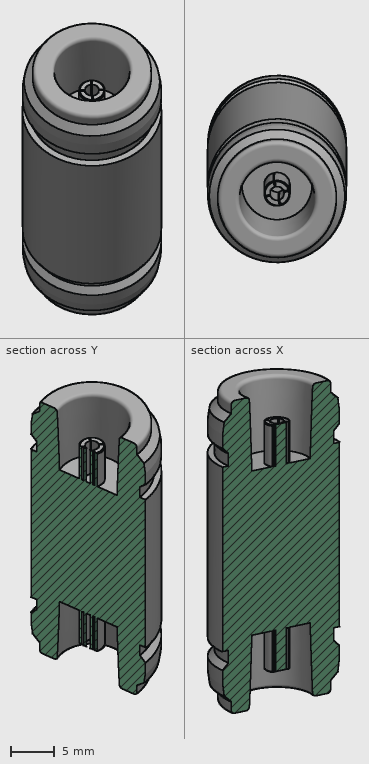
import cadquery as cq


half_length = 19.0
sleeve_half_length = 11.2
sleeve_diameter = 15.85

nose_depth = 1.52
lead_cone_depth = 2.4
taper_depth = 3.8
collar_depth = 5.55
relief_depth = 6.3

nose_radius = 6.75
taper_radius = 7.7
collar_radius = 7.9
relief_radius = 7.15
nose_fillet = 0.5

mouth_fillet = 0.5
bore_entry_radius = 4.3
bore_floor_radius = 4.0
bore_depth = 9.0

contact_top_depth = 4.0
contact_radius = 1.5
contact_chamfer = 0.1
socket_radius = 0.8
slot_width = 0.15
slot_angles = (45, 135)

sleeve_radius = sleeve_diameter / 2
bore_floor_z = half_length - bore_depth
contact_height = bore_depth - contact_top_depth


def revolve_about_z(profile):
    """Full turn of a closed XZ profile about the Z axis."""
    return profile.revolve(360, (0, 0, 0), (0, 1, 0))


def make_jack_body():
    """Solid outer shape of the upper jack, from the sleeve end to the end face."""
    profile = (
        cq.Workplane("XZ")
        .moveTo(0, sleeve_half_length)
        .lineTo(relief_radius, sleeve_half_length)
        .lineTo(relief_radius, half_length - relief_depth)
        .lineTo(collar_radius, half_length - collar_depth)
        .lineTo(collar_radius, half_length - taper_depth)
        .lineTo(taper_radius, half_length - lead_cone_depth)
        .lineTo(nose_radius, half_length - nose_depth)
        .lineTo(nose_radius, half_length - nose_fillet)
        .radiusArc((nose_radius - nose_fillet, half_length), -nose_fillet)
        .lineTo(0, half_length)
        .close()
    )
    return revolve_about_z(profile)


def make_bore():
    """Cavity of the upper jack, flaring out at its rounded mouth."""
    profile = (
        cq.Workplane("XZ")
        .moveTo(0, bore_floor_z)
        .lineTo(bore_floor_radius, bore_floor_z)
        .lineTo(bore_entry_radius, half_length - mouth_fillet)
        .radiusArc((bore_entry_radius + mouth_fillet, half_length), mouth_fillet)
        .lineTo(0, half_length)
        .close()
    )
    return revolve_about_z(profile)


def make_contact():
    """Contact socket with two crossing slots, standing on the bore floor."""
    floor = cq.Workplane("XY").workplane(offset=bore_floor_z)
    contact = floor.circle(contact_radius).extrude(contact_height)
    contact = contact.faces(">Z").chamfer(contact_chamfer)
    contact = contact.cut(floor.circle(socket_radius).extrude(contact_height))
    for angle in slot_angles:
        slot = floor.rect(2 * contact_radius, slot_width).extrude(contact_height)
        contact = contact.cut(slot.rotate((0, 0, 0), (0, 0, 1), angle))
    return contact


def at_both_ends(upper):
    """The given upper-end shape together with its mirror image at the lower end."""
    return upper, upper.mirror("XY")


sleeve_base = cq.Workplane("XY").workplane(offset=-sleeve_half_length)
result = sleeve_base.circle(sleeve_radius).extrude(2 * sleeve_half_length)
for jack_body in at_both_ends(make_jack_body()):
    result = result.union(jack_body)
for bore in at_both_ends(make_bore()):
    result = result.cut(bore)
for contact in at_both_ends(make_contact()):
    result = result.union(contact)